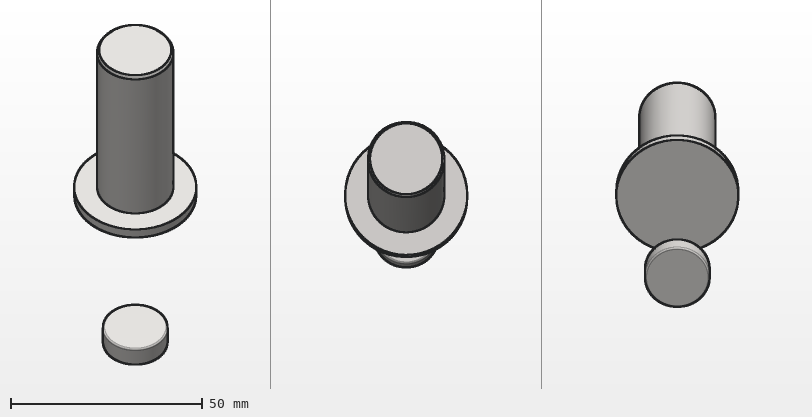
import cadquery as cq

total_height = 107.0

flange_diameter = 32.0
flange_thickness = 3.0
shaft_diameter = 20.0
pin_length = 53.0
tip_chamfer_height = 1.0
tip_chamfer_width = 0.58

disc_diameter = 17.0
disc_thickness = 5.9
disc_rim_radius = 0.45


def make_pin():
    """Flanged pin with a chamfered upper end, standing at the top of the stack."""
    shaft_length = pin_length - flange_thickness
    flange = cq.Workplane("XY").circle(flange_diameter / 2).extrude(flange_thickness)
    shaft = (
        cq.Workplane("XY", origin=(0, 0, flange_thickness))
        .circle(shaft_diameter / 2)
        .extrude(shaft_length)
        .faces(">Z")
        .chamfer(tip_chamfer_height, tip_chamfer_width)
    )
    return flange.union(shaft).translate((0, 0, total_height - pin_length))


def make_disc():
    """Flat disc with both rims rounded, resting at Z = 0."""
    return (
        cq.Workplane("XY")
        .circle(disc_diameter / 2)
        .extrude(disc_thickness)
        .faces("<Z or >Z")
        .fillet(disc_rim_radius)
    )


pin = make_pin()
disc = make_disc()

result = cq.Compound.makeCompound([pin.val(), disc.val()])